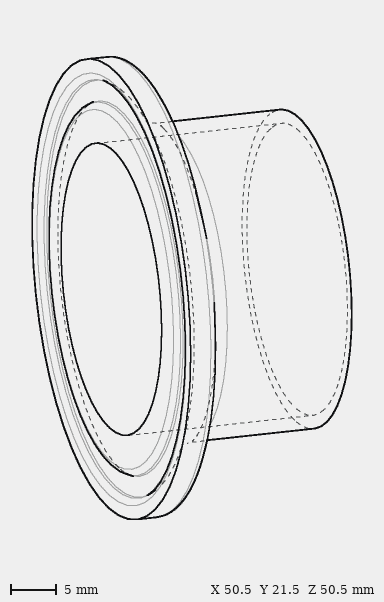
import cadquery as cq
import math

flange_radius = 25.25
tube_radius = 35.0 / 2
bore_radius = 32.0 / 2
length = 21.5

rim_height = 2.9
cone_angle = math.radians(20)
rim_round = 0.8
neck_fillet = 1.9

groove_radius = 21.7
groove_half_width = 1.995
groove_floor_round = 1.2
groove_lip_round = 0.8
wall_angle = math.radians(20)


def revolve_about_y(profile):
    return profile.close().revolve(360, (0, 0, 0), (0, 1, 0))


def make_body():
    """Flange, conical back and tube, with the rim rounded and the neck filleted."""
    cone_top = rim_height + (flange_radius - tube_radius) * math.tan(cone_angle)
    outline = (
        cq.Workplane("XY")
        .moveTo(bore_radius, 0)
        .lineTo(flange_radius, 0)
        .lineTo(flange_radius, rim_height)
        .lineTo(tube_radius, cone_top)
        .lineTo(tube_radius, length)
        .lineTo(bore_radius, length)
    )
    body = revolve_about_y(outline)
    body = body.faces("%CONE").edges(">Y").fillet(neck_fillet)
    return body.faces("%CONE").edges("<Y").fillet(rim_round)


def make_groove():
    """Ring with a round floor, short sloping walls and rounded lips."""
    turn = math.pi / 2 - wall_angle
    lip_width = groove_lip_round * math.sin(turn)
    lip_depth = groove_lip_round * (1 - math.cos(turn))
    floor_half_width = groove_floor_round * math.sin(turn)
    floor_rise = groove_floor_round * (1 - math.cos(turn))
    wall_width = groove_half_width - lip_width - floor_half_width
    wall_bottom = lip_depth + wall_width / math.tan(wall_angle)
    depth = wall_bottom + floor_rise

    lip_mid_offset = groove_half_width - groove_lip_round * math.sin(turn / 2)
    lip_mid_depth = groove_lip_round * (1 - math.cos(turn / 2))
    lip_end_offset = groove_half_width - lip_width

    def point(offset, y):
        return (groove_radius + offset, y)

    profile = (
        cq.Workplane("XY")
        .moveTo(*point(-groove_half_width, 0))
        .threePointArc(point(-lip_mid_offset, lip_mid_depth), point(-lip_end_offset, lip_depth))
        .lineTo(*point(-floor_half_width, wall_bottom))
        .threePointArc(point(0, depth), point(floor_half_width, wall_bottom))
        .lineTo(*point(lip_end_offset, lip_depth))
        .threePointArc(point(lip_mid_offset, lip_mid_depth), point(groove_half_width, 0))
    )
    return revolve_about_y(profile)


result = make_body().cut(make_groove())